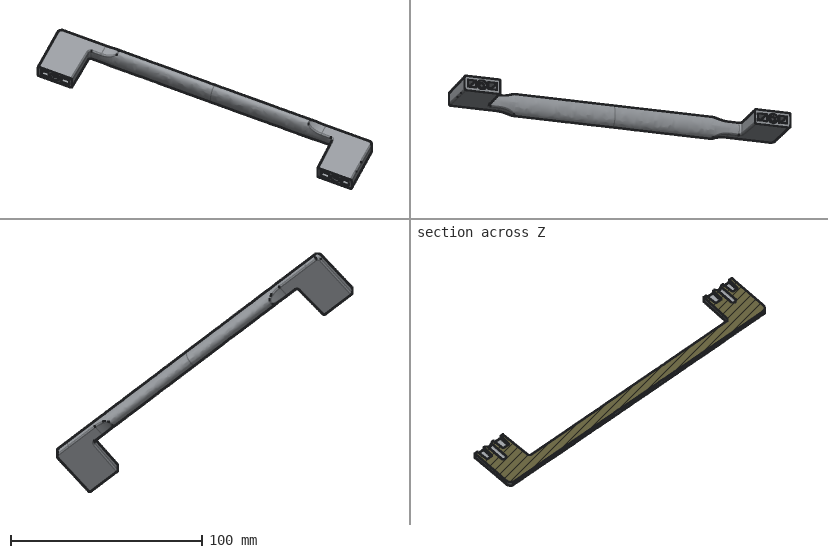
import cadquery as cq
import math


length = 180.0
depth = 28.0

bar_height = 12.0
bar_thickness = 8.0
bar_axis_y = depth - bar_thickness / 2

leg_width_foot = 19.8
leg_width_back = 20.7
leg_height_foot = 8.1
leg_height_back = 6.8
crown_rise = 0.27
outer_corner_radius = 3.2
inner_corner_radius = 1.0
edge_radius = 0.9

neck_start = 9.0
flat_end = 27.0
scoop_end = 35.5

pocket_height = 3.8
outer_pocket_width = 4.3
outer_pocket_offset = 4.1
inner_pocket_width = 4.9
inner_pocket_offset = 15.7
pocket_depth = 7.2
pocket_draft = 4.0
screw_offset = 9.7
screw_diameter = 2.7
screw_depth = 12.6
countersink_diameter = 4.9
drill_point_angle = 118.0
countersink_angle = 90.0

end_x = -length / 2

overshoot = 1.8
margin = 0.2


def region(x_range, y_range, z_range):
    """Selector for the edges whose centres lie inside a box given by its ranges."""
    low, high = zip(x_range, y_range, z_range)
    return cq.selectors.BoxSelector(low, high)


def bar_body(start, end):
    """Elliptical bar between two X positions."""
    return (
        cq.Workplane("YZ", origin=(start, bar_axis_y, 0))
        .ellipse(bar_thickness / 2, bar_height / 2)
        .extrude(end - start)
    )


def left_leg():
    """Tapered leg with a crowned end, a rounded outer corner and a back that follows the bar."""
    outline = (
        cq.Workplane("XY", origin=(0, 0, -bar_height / 2))
        .polyline([
            (end_x, 0),
            (end_x + leg_width_foot, 0),
            (end_x + leg_width_back, depth),
            (end_x, depth),
        ])
        .close()
        .extrude(bar_height)
        .edges("|Z and >Y and <X")
        .fillet(outer_corner_radius)
    )
    side_taper = (
        cq.Workplane("YZ", origin=(end_x, 0, 0))
        .polyline([
            (0, -leg_height_foot / 2),
            (depth, -leg_height_back / 2),
            (depth, leg_height_back / 2),
            (0, leg_height_foot / 2),
        ])
        .close()
        .extrude(leg_width_back)
    )
    crown = (
        cq.Workplane("XZ")
        .moveTo(end_x + crown_rise, leg_height_foot / 2)
        .threePointArc((end_x, 0), (end_x + crown_rise, -leg_height_foot / 2))
        .lineTo(0, -leg_height_foot / 2)
        .lineTo(0, leg_height_foot / 2)
        .close()
        .extrude(-depth)
    )
    front_block = (
        cq.Workplane("XY", origin=(end_x, 0, 0))
        .box(leg_width_back, bar_axis_y, bar_height, centered=(False, False, True))
    )
    back_rounding = front_block.union(bar_body(end_x, end_x + leg_width_back))
    return outline.intersect(side_taper).intersect(crown).intersect(back_rounding)


def neck_cutter():
    """Removes the bar above the left neck flat; an arc tangent to the flat runs out of the bar."""
    flat = leg_height_foot / 2
    taper = math.degrees(math.atan((leg_height_foot - leg_height_back) / 2 / depth))
    run = scoop_end - flat_end
    rise = (bar_height - leg_height_back) / 2
    radius = (run ** 2 + rise ** 2) / (2 * rise)
    clear_rise = rise + overshoot
    clear_run = math.sqrt(2 * radius * clear_rise - clear_rise ** 2)
    half_angle = math.atan2(clear_run, radius - clear_rise) / 2
    arc_start = end_x + flat_end
    return (
        cq.Workplane("XZ")
        .moveTo(end_x, flat)
        .lineTo(arc_start, flat)
        .threePointArc(
            (arc_start + radius * math.sin(half_angle), flat + radius * (1 - math.cos(half_angle))),
            (arc_start + clear_run, flat + clear_rise),
        )
        .lineTo(end_x, flat + clear_rise)
        .close()
        .extrude(-depth - overshoot)
        .rotate((0, 0, flat), (1, 0, flat), -taper)
    )


def pocket(offset, width):
    """Drafted blind pocket in the left mounting face."""
    return (
        cq.Workplane("XZ", origin=(end_x + offset, 0, 0))
        .rect(width, pocket_height)
        .extrude(-pocket_depth, taper=pocket_draft)
    )


def screw_hole():
    """Countersunk blind hole with a drill point, revolved about an axis along Y."""
    hole_radius = screw_diameter / 2
    sink_radius = countersink_diameter / 2
    sink_depth = (sink_radius - hole_radius) / math.tan(math.radians(countersink_angle / 2))
    tip_depth = hole_radius / math.tan(math.radians(drill_point_angle / 2))
    return (
        cq.Workplane("XY", origin=(end_x + screw_offset, 0, 0))
        .polyline([
            (0, 0),
            (sink_radius, 0),
            (hole_radius, sink_depth),
            (hole_radius, screw_depth),
            (0, screw_depth + tip_depth),
        ])
        .close()
        .revolve(360, (0, 0, 0), (0, 1, 0))
    )


cutter = neck_cutter()
half = bar_body(end_x + neck_start, 0).cut(cutter).cut(cutter.mirror("XY"))

half = half.union(left_leg())
inner_corner = region(
    (end_x + leg_width_foot, end_x + flat_end),
    (bar_axis_y - bar_thickness, bar_axis_y),
    (-margin, margin),
)
half = half.edges(inner_corner).fillet(inner_corner_radius)

rim_x = (end_x - overshoot, end_x + flat_end - margin)
rim_y = (margin, depth)
rim_low = leg_height_back / 2 - edge_radius
upper_rim = region(rim_x, rim_y, (rim_low, leg_height_foot))
lower_rim = region(rim_x, rim_y, (-leg_height_foot, -rim_low))
half = half.edges(upper_rim + lower_rim).fillet(edge_radius)

half = half.cut(pocket(outer_pocket_offset, outer_pocket_width))
half = half.cut(pocket(inner_pocket_offset, inner_pocket_width))
half = half.cut(screw_hole())

result = half.union(half.mirror("YZ")).clean()